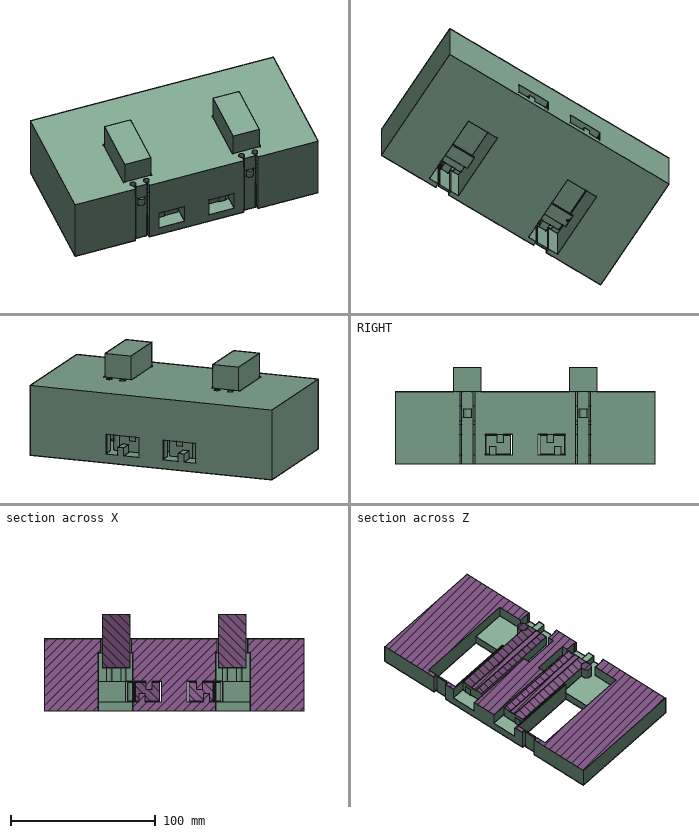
import cadquery as cq

LENGTH_X = 88.5
LENGTH_Y = 179.5
HEIGHT = 50.0
FRONT = -LENGTH_X / 2
BACK = LENGTH_X / 2
SIDES = (1, -1)

SERVO_X = FRONT + 59.5
SERVO_Y = 40.0
SERVO_LENGTH = 39.9
SERVO_WIDTH = 19.2
SERVO_BOTTOM = 30.0
SERVO_TOP = 67.0
CABLE_EXIT_WIDTH = 6.0
CABLE_EXIT_BOTTOM = 32.3
CABLE_EXIT_HEIGHT = 6.0

POCKET_Y = 40.2
POCKET_WIDTH = 21.0
WELL_FRONT = FRONT + 34.8
WELL_BACK = FRONT + 85.3
WELL_TOP = 40.2
WELL_INNER_Y = 28.7
WELL_OUTER_Y = 52.5
HOLE_DIAMETER = 4.0
HOLE_SPACING_X = 47.4
HOLE_SPACING_Y = 9.9
NOTCH_WIDTH = 10.2
TAB_WIDTH = 7.9
TAB_SETBACK = 1.8

HORN_X = SERVO_X + 9.9
HORN_WIDTH = 9.2
HORN_THICKNESS = 2.5
HORN_REACH = 11.8
HORN_HOLE_DIAMETER = 1.5
HORN_HOLE_OFFSET = 10.6

TUNNEL_INNER_Y = 9.0
MOUTH_OUTER_Y = 33.2
TUNNEL_FLOOR = 6.5
TUNNEL_CEILING = 20.6
LIP_DEPTH = 2.0
LIP_STEP = 0.45
BAY_FRONT = FRONT + 9.3
BAY_INNER_Y = 4.3

RAIL_WIDTH = 4.5
RAIL_HEIGHT = 5.7
FLOOR_RAIL_Y = 22.5
CEILING_RAIL_Y = 17.5

SLIDER_BACK = FRONT + 79.0
SLIDER_INNER_Y = 10.0
SLIDER_OUTER_Y = 27.1
SLIDER_CLEARANCE = 0.5
SLIDER_BOTTOM = TUNNEL_FLOOR + SLIDER_CLEARANCE
RUN_OUTER_Y = SLIDER_OUTER_Y + SLIDER_CLEARANCE
SLIDER_HEIGHT = TUNNEL_CEILING - TUNNEL_FLOOR - 2 * SLIDER_CLEARANCE
KNUCKLE_DIAMETER = 7.0
KNUCKLE_X = BAY_FRONT + KNUCKLE_DIAMETER / 2
KNUCKLE_Y = 28.9


def block(x_range, y_range, z_range):
    """Box between the given limits."""
    x0, x1 = x_range
    y0, y1 = y_range
    z0, z1 = z_range
    return cq.Workplane("XY").box(x1 - x0, y1 - y0, z1 - z0, centered=False).translate((x0, y0, z0))


def around(middle, width):
    """Limits of a width centred on a position."""
    return (middle - width / 2, middle + width / 2)


def cylinder(x, y, diameter, bottom, height):
    """Upright cylinder."""
    return cq.Workplane("XY").circle(diameter / 2).extrude(height).translate((x, y, bottom))


def on_side(shape, side):
    """The +Y shape itself, or its mirror image for the -Y mechanism."""
    return shape if side > 0 else shape.mirror("XZ")


def floor_rail():
    return block(
        (FRONT, SLIDER_BACK),
        around(FLOOR_RAIL_Y, RAIL_WIDTH),
        (TUNNEL_FLOOR, TUNNEL_FLOOR + RAIL_HEIGHT),
    )


def ceiling_rail():
    return block(
        (BAY_FRONT, SLIDER_BACK),
        around(CEILING_RAIL_Y, RAIL_WIDTH),
        (TUNNEL_CEILING - RAIL_HEIGHT, TUNNEL_CEILING),
    )


def cable_exit():
    """Bar from the servo's middle to a round end that reaches the back of the housing."""
    end_x = BACK - CABLE_EXIT_WIDTH / 2
    bar = block(
        (SERVO_X, end_x),
        around(SERVO_Y, CABLE_EXIT_WIDTH),
        (CABLE_EXIT_BOTTOM, CABLE_EXIT_BOTTOM + CABLE_EXIT_HEIGHT),
    )
    round_end = cylinder(end_x, SERVO_Y, CABLE_EXIT_WIDTH, CABLE_EXIT_BOTTOM, CABLE_EXIT_HEIGHT)
    return bar.union(round_end)


def knuckle():
    return cylinder(KNUCKLE_X, KNUCKLE_Y, KNUCKLE_DIAMETER, SLIDER_BOTTOM, SLIDER_HEIGHT)


def servo():
    body = block(
        around(SERVO_X, SERVO_LENGTH),
        around(SERVO_Y, SERVO_WIDTH),
        (SERVO_BOTTOM, SERVO_TOP),
    )
    return body.union(cable_exit())


def horn():
    """Arm across the servo's underside, with a hole near its outer tip."""
    bottom = SERVO_BOTTOM - HORN_THICKNESS
    arm = block(
        around(HORN_X, HORN_WIDTH),
        (WELL_INNER_Y, SERVO_Y + HORN_REACH),
        (bottom, SERVO_BOTTOM),
    )
    hole = cylinder(HORN_X, SERVO_Y + HORN_HOLE_OFFSET, HORN_HOLE_DIAMETER, bottom, HORN_THICKNESS)
    return arm.cut(hole)


def slider():
    """Bar with grooves for both rails and a seat for the knuckle."""
    bar = block(
        (BAY_FRONT, SLIDER_BACK),
        (SLIDER_INNER_Y, SLIDER_OUTER_Y),
        (SLIDER_BOTTOM, SLIDER_BOTTOM + SLIDER_HEIGHT),
    )
    return bar.cut(floor_rail()).cut(ceiling_rail()).cut(knuckle())


def servo_cavity():
    """Pocket for the servo and the well below it, open at the underside."""
    pocket = block(
        around(SERVO_X, SERVO_LENGTH),
        around(POCKET_Y, POCKET_WIDTH),
        (WELL_TOP, HEIGHT),
    )
    well = block((WELL_FRONT, WELL_BACK), (WELL_INNER_Y, WELL_OUTER_Y), (0, WELL_TOP))
    return pocket.union(well).union(cable_exit())


def mounting_holes():
    """Four holes; the front pair drops to the bay floor and the back pair goes right through."""
    holes = cq.Workplane("XY")
    for x_sign, bottom in ((-1, TUNNEL_FLOOR), (1, 0)):
        for y_sign in (-1, 1):
            x = SERVO_X + x_sign * HOLE_SPACING_X / 2
            y = SERVO_Y + y_sign * HOLE_SPACING_Y / 2
            holes = holes.union(cylinder(x, y, HOLE_DIAMETER, bottom, HEIGHT - bottom))
    return holes


def back_notch():
    """Notch from the back pair of holes to the back face, around a tab that stops short of it."""
    hole_x = SERVO_X + HOLE_SPACING_X / 2
    notch = block((hole_x, BACK), around(SERVO_Y, NOTCH_WIDTH), (0, HEIGHT))
    tab = block((hole_x, BACK - TAB_SETBACK), around(SERVO_Y, TAB_WIDTH), (0, HEIGHT))
    return notch.cut(tab)


def slider_cavity():
    """Tunnel through the housing with a stepped mouth and a wide bay, less the guide rails."""
    z_range = (TUNNEL_FLOOR, TUNNEL_CEILING)
    mouth = block((FRONT, BAY_FRONT), (TUNNEL_INNER_Y, MOUTH_OUTER_Y), z_range)
    run = block((BAY_FRONT, BACK), (TUNNEL_INNER_Y, RUN_OUTER_Y), z_range)
    step = block(
        (FRONT + LIP_DEPTH, BAY_FRONT),
        (TUNNEL_INNER_Y - LIP_STEP, MOUTH_OUTER_Y + LIP_STEP),
        z_range,
    )
    bay = block((BAY_FRONT, WELL_FRONT), (BAY_INNER_Y, WELL_OUTER_Y), z_range)
    return mouth.union(step).union(bay).union(run).cut(floor_rail()).cut(ceiling_rail())


def housing():
    body = block((FRONT, BACK), around(0, LENGTH_Y), (0, HEIGHT))
    for side in SIDES:
        for cavity in (servo_cavity(), mounting_holes(), back_notch(), slider_cavity()):
            body = body.cut(on_side(cavity, side))
    return body


bodies = [*housing().solids().vals()]
for side in SIDES:
    for moving_part in (servo(), horn(), slider(), knuckle()):
        bodies.extend(on_side(moving_part, side).solids().vals())

result = cq.Compound.makeCompound(bodies)